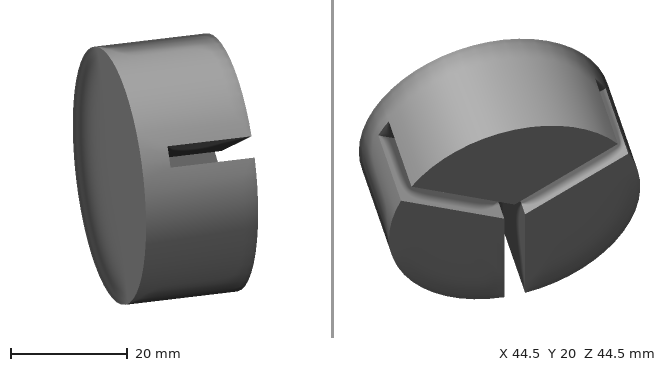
import cadquery as cq

diameter = 44.5
length = 20.0
slot_width = 3.7
slot_depth = 15.0
slot_angles = (30, 150, 270)

radius = diameter / 2
back_y = length / 2
slot_reach = diameter


def radial_slot(angle):
    """Box from the disc axis out past the rim, cut into the +Y end."""
    slot = (
        cq.Workplane("XY")
        .box(slot_reach, slot_depth, slot_width, centered=(False, False, True))
        .translate((0, back_y - slot_depth, 0))
    )
    return slot.rotate((0, 0, 0), (0, -1, 0), angle)


result = cq.Workplane("XZ", origin=(0, back_y, 0)).circle(radius).extrude(length)

for slot_angle in slot_angles:
    result = result.cut(radial_slot(slot_angle))